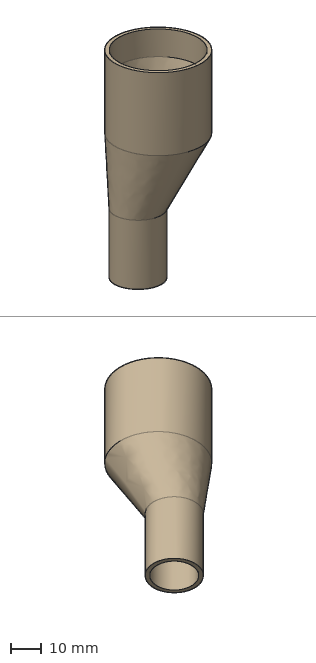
import cadquery as cq

total_height = 80
socket_height = 30.0
bore_depth = 10.0
bore_overlap = 2.0
socket_bore = 32
spigot_bore = 16
wall = 1.5

spigot_height = (total_height - socket_height) / 2
spigot_y = (spigot_bore - socket_bore) / 2


def eccentric_reducer(spigot_diameter, socket_diameter, transition_bottom, transition_top):
    """Solid spigot, slanted transition and socket, stacked upward from Z = 0."""
    spigot = (
        cq.Workplane("XY")
        .center(0, spigot_y)
        .circle(spigot_diameter / 2)
        .extrude(transition_bottom)
    )
    transition = (
        cq.Workplane("XY", origin=(0, 0, transition_bottom))
        .center(0, spigot_y)
        .circle(spigot_diameter / 2)
        .workplane(offset=transition_top - transition_bottom)
        .center(0, -spigot_y)
        .circle(socket_diameter / 2)
        .loft(ruled=True)
    )
    socket = (
        cq.Workplane("XY", origin=(0, 0, transition_top))
        .circle(socket_diameter / 2)
        .extrude(total_height - transition_top)
    )
    return spigot.union(transition).union(socket)


outer_body = eccentric_reducer(
    spigot_bore + 2 * wall,
    socket_bore + 2 * wall,
    transition_bottom=spigot_height,
    transition_top=total_height - socket_height,
)
passage = eccentric_reducer(
    spigot_bore,
    socket_bore,
    transition_bottom=spigot_height + bore_overlap,
    transition_top=total_height - bore_depth,
)
result = outer_body.cut(passage)